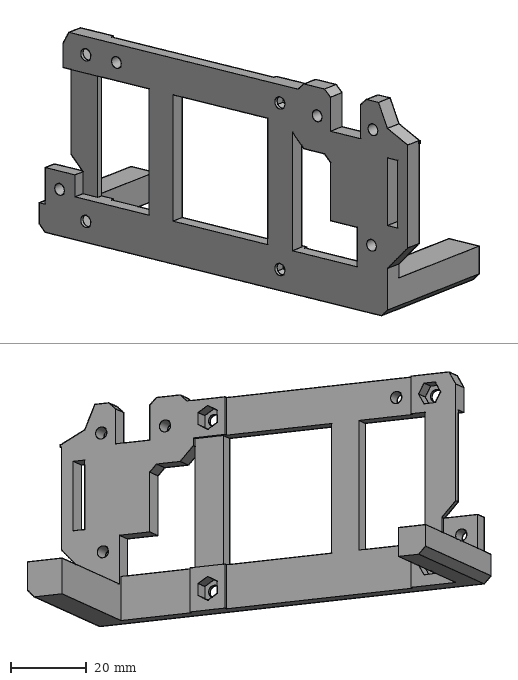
import cadquery as cq

length = 124.2
depth = 39.0
height = 59.0

plate_thickness = 5.0
thin_thickness = 4.0
column_front = 3.4

corner_chamfer = 2.0
main_right = 117.0
ear_right = 123.8
ear_bottom = 20.6
ear_slope_bottom = 13.5
ear_top = 49.2
ear_slope_top = 52.4
lug_chamfer_drop = 1.9
top_edge = height - lug_chamfer_drop
left_lug_left = 88.9
left_lug_right = 97.8
right_lug_left = 107.9
right_lug_flat_end = 114.0
notch_floor = 47.7
left_edge = 8.0
left_corner_run = 2.0
left_corner_drop = 3.5

tab_left = 2.0
tab_right = 12.0
tab_top = 18.0
foot_top = 7.8

window_bottom = 11.9
window_top = 46.9
left_rib = (36.9, 45.0)
right_rib = (76.7, 85.0)
column_right = 17.0
cut_step = 22.8
cut_top = 41.0

slot_left = 117.0
slot_right = 120.3
slot_bottom = 25.5
slot_top = 44.2

right_arm_left = 106.8
right_arm_top = 9.7

left_pad_right = 21.1
right_pad = (75.7, 86.0)

plain_hole_diameter = 3.2
nut_hole_diameter = 3.4
board_left = 15.6
board_right = 80.8
board_bottom = 5.8
board_top = 52.0
plain_holes = [(6.8, 12.9), (26.0, board_top), (93.4, 51.0), (112.1, 51.0), (111.6, 18.9)]
nut_flats = 5.6
nut_pocket_floor = 1.0

nib_height = 0.7
nib_depth = 0.5


def prism(points, y_front, y_back):
    """Extrude a closed X-Z outline between two Y positions."""
    outline = cq.Workplane("XZ", origin=(0, y_front, 0)).polyline(points).close()
    return outline.extrude(y_front - y_back)


def block(x_range, y_range, z_range):
    """Make an axis-aligned block from its limits."""
    sizes = [end - start for start, end in (x_range, y_range, z_range)]
    corner = (x_range[0], y_range[0], z_range[0])
    return cq.Workplane("XY").box(*sizes, centered=False).translate(corner)


def plate_layer(left_side, y_front, y_back):
    """Make one layer of the plate; left_side runs from the foot up to the left edge."""
    outline = [
        (corner_chamfer, 0),
        (main_right - corner_chamfer, 0),
        (main_right, corner_chamfer),
        (main_right, ear_slope_bottom),
        (ear_right, ear_bottom),
        (ear_right, ear_top),
        (main_right, ear_slope_top),
        (right_lug_flat_end, height),
        (right_lug_left + corner_chamfer, height),
        (right_lug_left, top_edge),
        (right_lug_left, notch_floor),
        (left_lug_right, notch_floor),
        (left_lug_right, top_edge),
        (left_lug_right - corner_chamfer, height),
        (left_lug_left, height),
        (left_lug_left - corner_chamfer, top_edge),
        (left_edge + left_corner_run, top_edge),
        (left_edge, top_edge - left_corner_drop),
    ]
    return prism(outline + left_side[::-1] + [(0, corner_chamfer)], y_front, y_back)


def plate_body():
    """Join the front layer, which has the tab, to the back layer, which is cut in beside it."""
    cut_in = tab_right - left_edge
    tab_side = [
        (0, foot_top),
        (tab_left, foot_top),
        (tab_left, tab_top),
        (tab_right, tab_top),
        (tab_right, window_top),
        (left_edge, window_top),
    ]
    bevel_side = [
        (0, foot_top),
        (left_edge, foot_top),
        (tab_right, foot_top + cut_in),
        (tab_right, tab_top),
        (left_edge, tab_top + cut_in),
    ]
    front_layer = plate_layer(tab_side, 0, thin_thickness)
    back_layer = plate_layer(bevel_side, thin_thickness, plate_thickness)
    return front_layer.union(back_layer)


def windows():
    """Three openings; the right one steps around the slotted ear."""
    through = (0, plate_thickness)
    tall = (window_bottom, window_top)
    left_window = block((tab_right, left_rib[0]), through, tall)
    middle_window = block((left_rib[1], right_rib[0]), through, tall)
    stepped_window = prism(
        [
            (right_rib[1], window_bottom),
            (right_arm_left, window_bottom),
            (right_arm_left, cut_step),
            (left_lug_right, cut_step),
            (left_lug_right, cut_top - corner_chamfer),
            (left_lug_right - corner_chamfer, cut_top),
            (left_lug_left, cut_top),
            (right_rib[1], cut_top + left_lug_left - right_rib[1]),
        ],
        *through,
    )
    return left_window.union(middle_window).union(stepped_window)


def left_column():
    """Recessed upright along the left side of the left window."""
    slope = tab_right - left_edge
    outline = [
        (tab_right, window_bottom),
        (column_right, window_bottom),
        (column_right, window_top),
        (left_edge, window_top),
        (left_edge, tab_top + slope),
        (tab_right, tab_top),
    ]
    return prism(outline, column_front, plate_thickness)


def arms():
    """Two arms with their outer bottom edges chamfered like the plate corners."""
    left_arm = prism(
        [
            (corner_chamfer, 0),
            (left_edge, 0),
            (left_edge, foot_top),
            (0, foot_top),
            (0, corner_chamfer),
        ],
        0,
        depth,
    )
    right_arm = prism(
        [
            (right_arm_left, 0),
            (main_right - corner_chamfer, 0),
            (main_right, corner_chamfer),
            (main_right, right_arm_top),
            (right_arm_left, right_arm_top),
        ],
        0,
        depth,
    )
    return left_arm.union(right_arm)


def round_holes(positions, diameter):
    """Round holes through the plate."""
    plane = cq.Workplane("XZ").pushPoints(positions)
    return plane.circle(diameter / 2).extrude(-plate_thickness)


def nut_pocket(x, z, turn):
    """Hexagonal pocket open to the back; turn 0 puts corners left and right."""
    corner_diameter = nut_flats * 2 / 3**0.5
    hexagon = cq.Workplane("XZ").polygon(6, corner_diameter)
    pocket = hexagon.extrude(nut_pocket_floor - plate_thickness)
    return pocket.rotate((0, 0, 0), (0, 1, 0), turn).translate((x, nut_pocket_floor, z))


def back_relief():
    """Shallow cuts in the back that leave full-thickness pads around the nut pockets."""
    cuts = [
        ((left_pad_right, right_pad[0]), (0, height)),
        ((right_pad[0], right_rib[1]), (window_bottom, window_top)),
        ((right_pad[1], right_arm_left), (0, window_bottom)),
    ]
    relief = cq.Workplane("XY")
    for x_range, z_range in cuts:
        relief.add(block(x_range, (thin_thickness, plate_thickness), z_range))
    return relief.combine()


slot = block((slot_left, slot_right), (0, plate_thickness), (slot_bottom, slot_top))
result = plate_body().cut(windows()).cut(slot).union(left_column()).cut(back_relief())

nib = block(
    (slot_right, length),
    (plate_thickness - nib_depth, plate_thickness),
    (ear_top - nib_height, ear_top),
)
result = result.union(arms()).union(nib)

nut_holes = [(x, z) for x in (board_left, board_right) for z in (board_bottom, board_top)]
result = result.cut(round_holes(plain_holes, plain_hole_diameter))
result = result.cut(round_holes(nut_holes, nut_hole_diameter))
for hole_x, hole_z in nut_holes:
    hex_turn = 0 if hole_x == board_left else 30
    result = result.cut(nut_pocket(hole_x, hole_z, hex_turn))